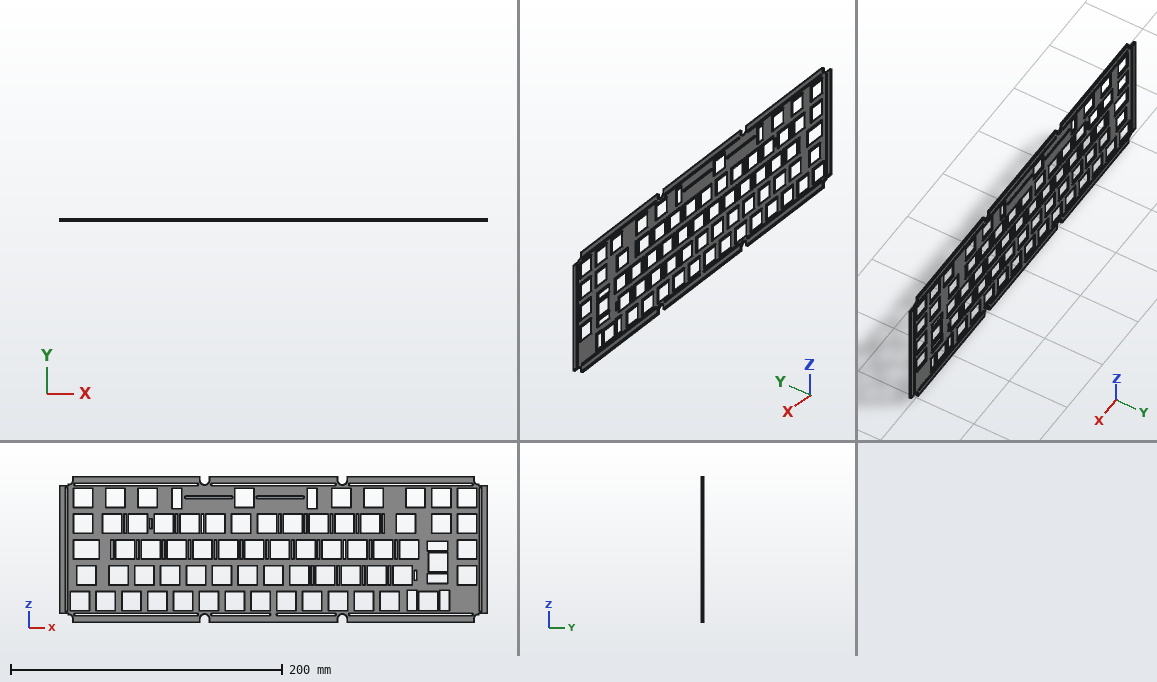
import cadquery as cq

length = 315.8
height = 107.7
thickness = 1.5

key_span = 285.8
unit = key_span / 15
key_web = 5.0
key_size = unit - key_web

side_flange_height = 94.5
edge_flange_half_length = 148.0
corner_floor_z = 48.0
corner_radius = 2.8
corner_step_x = 151.5

notch_x = 50.8
notch_width = 7.0
notch_floor_z = 47.7

slit_width = 1.5
edge_slit_z = 48.0
edge_slit_outer_x = 147.0
edge_slit_notch_gap = 4.7
bottom_bridge_width = 4.5
side_slit_x = 152.8
side_slit_length = 91.5

key_slit_width = 1.5
outer_key_slit_width = 1.7
short_key_slit_length = 7.0

stabiliser_width = 7.0
stabiliser_near_reach = key_size / 2
stabiliser_far_reach = 8.0
stabiliser_offset = 12.0
space_stabiliser_offset = 50.0

space_slit_start = 8.8
space_slit_end = 44.0
space_slit_z = 38.5

space_column = -1.125
space_row = 2
enter_column = 6.375
enter_row = -0.5
wide_key_column = 6.0
wide_key_row = -2
caps_column = -7.25
caps_travel = 0.25


def run(first, count):
    """Columns of `count` neighbouring keys, one key unit apart."""
    return [first + i for i in range(count)]


switch_columns = {
    space_row: [-7.375, -6.125, -4.875, space_column, 2.625, 3.875] + run(5.5, 3),
    1: [-7.375] + run(-6.25, 11) + [5.125, 6.5, 7.5],
    0: run(-5.75, 12) + [7.5],
    -1: [-7.25] + run(-6.0, 12) + [7.5],
    wide_key_row: run(-7.5, 13) + [wide_key_column],
}

key_slits = [
    (1, [-5.75, -3.75, -2.75] + run(0.25, 5), key_slit_width, key_size),
    (1, [-4.75], key_slit_width, short_key_slit_length),
    (0, [-6.25], outer_key_slit_width, key_size),
    (0, run(-5.25, 11), key_slit_width, key_size),
    (-1, run(1.5, 4), key_slit_width, key_size),
    (-1, [5.5], outer_key_slit_width, short_key_slit_length),
]


def box(x_min, x_max, z_min, z_max):
    """Rectangular cutter through the plate thickness."""
    return (
        cq.Workplane("XZ")
        .center((x_min + x_max) / 2, (z_min + z_max) / 2)
        .rect(x_max - x_min, z_max - z_min)
        .extrude(thickness, both=True)
    )


def centred_box(x, z, width, tall):
    return box(x - width / 2, x + width / 2, z - tall / 2, z + tall / 2)


def horizontal_slit(x_start, x_end, z):
    return (
        cq.Workplane("XZ")
        .center((x_start + x_end) / 2, z)
        .slot2D(x_end - x_start, slit_width)
        .extrude(thickness, both=True)
    )


def vertical_slit(x, z, slit_length):
    return (
        cq.Workplane("XZ")
        .center(x, z)
        .slot2D(slit_length, slit_width, 90)
        .extrude(thickness, both=True)
    )


def blank():
    """Plate outline with a rounded cutaway at each corner."""
    flange_end_z = side_flange_height / 2
    quarter = (
        cq.Workplane("XZ", origin=(0, thickness / 2, 0))
        .moveTo(0, 0)
        .lineTo(length / 2, 0)
        .lineTo(length / 2, flange_end_z)
        .lineTo(corner_step_x, flange_end_z)
        .lineTo(corner_step_x, corner_floor_z)
        .lineTo(edge_flange_half_length + corner_radius, corner_floor_z)
        .radiusArc((edge_flange_half_length, corner_floor_z + corner_radius), corner_radius)
        .lineTo(edge_flange_half_length, height / 2)
        .lineTo(0, height / 2)
        .close()
        .extrude(thickness)
    )
    half = quarter.union(quarter.mirror("YZ"))
    return half.union(half.mirror("XY"))


def notch_cutters():
    radius = notch_width / 2
    axis_z = notch_floor_z + radius
    upper = []
    for x in (-notch_x, notch_x):
        upper.append(box(x - radius, x + radius, axis_z, height))
        upper.append(cq.Workplane("XZ").center(x, axis_z).circle(radius).extrude(thickness, both=True))
    return upper + [cutter.mirror("XY") for cutter in upper]


def flange_slit_cutters():
    outer_start = notch_x + edge_slit_notch_gap
    inner_end = notch_x - edge_slit_notch_gap
    cutters = [horizontal_slit(-inner_end, inner_end, edge_slit_z)]
    for side in (-1, 1):
        cutters.append(vertical_slit(side * side_slit_x, 0, side_slit_length))
        bottom_inner = sorted((side * bottom_bridge_width / 2, side * inner_end))
        cutters.append(horizontal_slit(*bottom_inner, -edge_slit_z))
        outer = sorted((side * outer_start, side * edge_slit_outer_x))
        for z in (-edge_slit_z, edge_slit_z):
            cutters.append(horizontal_slit(*outer, z))
    return cutters


def switch_cutters():
    cutters = [centred_box(enter_column * unit, enter_row * unit, key_size, key_size)]
    cutters.append(centred_box(caps_column * unit, 0, key_size + caps_travel * unit, key_size))
    for row, columns in switch_columns.items():
        for column in columns:
            cutters.append(centred_box(column * unit, row * unit, key_size, key_size))
    return cutters


def key_slit_cutters():
    cutters = []
    for row, columns, width, slit_length in key_slits:
        for column in columns:
            cutters.append(centred_box(column * unit, row * unit, width, slit_length))
    return cutters


def stabiliser_cutters():
    half_width = stabiliser_width / 2
    near = stabiliser_near_reach
    far = stabiliser_far_reach
    space_x = space_column * unit
    space_z = space_row * unit
    wide_x = wide_key_column * unit
    wide_z = wide_key_row * unit
    enter_x = enter_column * unit
    enter_z = enter_row * unit
    cutters = []
    for side in (-1, 1):
        x = space_x + side * space_stabiliser_offset
        cutters.append(box(x - half_width, x + half_width, space_z - far, space_z + near))
        x = wide_x + side * stabiliser_offset
        cutters.append(box(x - half_width, x + half_width, wide_z - near, wide_z + far))
        z = enter_z + side * stabiliser_offset
        cutters.append(box(enter_x - far, enter_x + near, z - half_width, z + half_width))
    return cutters


def space_slit_cutters():
    space_x = space_column * unit
    return [
        horizontal_slit(space_x - space_slit_end, space_x - space_slit_start, space_slit_z),
        horizontal_slit(space_x + space_slit_start, space_x + space_slit_end, space_slit_z),
    ]


result = blank()
for cutters in (
    notch_cutters(),
    flange_slit_cutters(),
    switch_cutters(),
    key_slit_cutters(),
    stabiliser_cutters(),
    space_slit_cutters(),
):
    for cutter in cutters:
        result = result.cut(cutter)